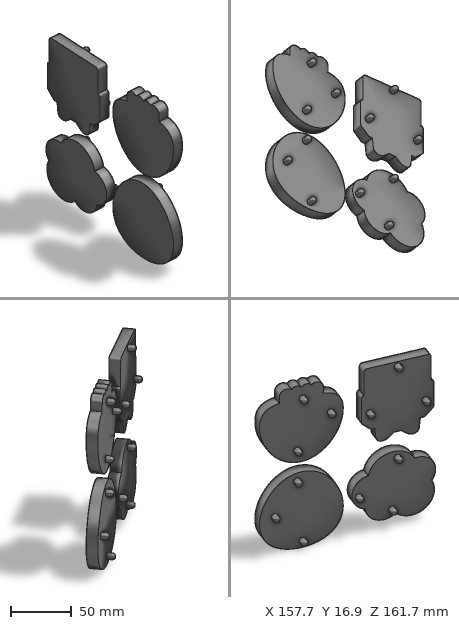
import cadquery as cq
import math


set_width = 157.74
set_height = 161.7
piece_size = 75.0
plate_thickness = 10.0
right_column_x = set_width / 2 - piece_size / 2

peg_diameter = 5.8
peg_length = 6.92
left_peg_x = -69.65
right_peg_x = 15.35
upper_peg_z = 16.65
lower_peg_z = -73.9

character_pegs = [(25, 60), (0, 20), (50, 20)]
flower_pegs = [(25, 60), (60, 30), (30, 10)]
crowned_egg_pegs = [(25, 50), (0, 30), (30, 0)]
plain_egg_pegs = [(30, 60), (50, 30), (25, 0)]

egg_half_width = piece_size / 2
egg_tall_end = 43.0
plain_egg_blunt_end = piece_size - egg_tall_end
egg_handle = egg_half_width * (math.sqrt(2) - 1) * 4 / 3
plain_egg_z = -set_height / 2 + plain_egg_blunt_end

crowned_egg_z = 47.2
crowned_egg_blunt_end = 20.4
crowned_egg_side_handle = 21.7
crowned_egg_tip_handle = 18.7
crown_half_width = 19.75
crown_top_z = 79.6
crown_outer_radius = 6.5
crown_inner_radius = 5.2
crown_valley_offset = 8.85
crown_valley_z = 77.7
crown_middle_valley_z = 77.3

character_x = -44.73
head_half_width = 30.1
head_top_z = set_height / 2
body_half_width = 32.5
body_top_z = 55.0
body_bottom_z = 20.0
bevel_width = 7.9
bevel_height = 8.5
corner_radius = 3.0
leg_half_width = 20.4
leg_lobe_offset = 14.1
leg_lobe_radius = 5.4
leg_bottom_z = head_top_z - piece_size
leg_side_lean = math.radians(6)
crotch_radius = 10.0
crotch_lean = math.radians(40)
crotch_half_width = 3.3
crotch_z = 11.8

flower_lobes = [
    (-40.75, -30.0, 22.75),
    (-20.35, -41.65, 16.5),
    (-32.25, -56.0, 16.4),
    (-57.3, -53.9, 20.45),
    (-62.87, -34.4, 16.0),
]


def add_pegs(plate, column_x, row_z, places):
    """Join round-nosed pegs to the back of a plate; places are offsets from (column_x, row_z)."""
    radius = peg_diameter / 2
    shank_length = peg_length - radius
    peg_profile = (
        cq.Workplane("XY")
        .lineTo(radius, 0)
        .lineTo(radius, shank_length)
        .radiusArc((0, peg_length), -radius)
        .close()
    )
    peg = peg_profile.revolve(360, (0, 0, 0), (0, 1, 0))
    for across, up in places:
        plate = plate.union(peg.translate((column_x + across, plate_thickness, row_z + up)))
    return plate


def egg_plate(widest_z, tall_direction, blunt_end, blunt_side_handle, blunt_tip_handle):
    """Egg with its tall end towards +Z (tall_direction 1) or -Z (-1) from its widest line."""
    x = right_column_x
    tall_tip = widest_z + tall_direction * egg_tall_end
    blunt_tip = widest_z - tall_direction * blunt_end
    side_above = widest_z + tall_direction * egg_handle
    side_below = widest_z - tall_direction * blunt_side_handle
    left = x - egg_half_width
    right = x + egg_half_width
    outline = (
        cq.Workplane("XZ")
        .moveTo(x, tall_tip)
        .bezier([(x, tall_tip), (x + egg_handle, tall_tip), (right, side_above), (right, widest_z)])
        .bezier([(right, widest_z), (right, side_below), (x + blunt_tip_handle, blunt_tip), (x, blunt_tip)])
        .bezier([(x, blunt_tip), (x - blunt_tip_handle, blunt_tip), (left, side_below), (left, widest_z)])
        .bezier([(left, widest_z), (left, side_above), (x - egg_handle, tall_tip), (x, tall_tip)])
        .close()
    )
    return outline.extrude(-plate_thickness)


def crown():
    """Block rising from the middle of the crowned egg, with four scallops along its top."""
    x = right_column_x
    shoulder_z = crown_top_z - crown_outer_radius
    outline = (
        cq.Workplane("XZ")
        .moveTo(x - crown_half_width, crowned_egg_z)
        .lineTo(x - crown_half_width, shoulder_z)
        .radiusArc((x - crown_valley_offset, crown_valley_z), crown_outer_radius)
        .radiusArc((x, crown_middle_valley_z), crown_inner_radius)
        .radiusArc((x + crown_valley_offset, crown_valley_z), crown_inner_radius)
        .radiusArc((x + crown_half_width, shoulder_z), crown_outer_radius)
        .lineTo(x + crown_half_width, crowned_egg_z)
        .close()
    )
    return outline.extrude(-plate_thickness)


def flower_plate():
    """Union of the overlapping discs."""
    plate = cq.Workplane("XZ")
    for x, z, radius in flower_lobes:
        plate = plate.union(cq.Workplane("XZ").center(x, z).circle(radius).extrude(-plate_thickness))
    return plate


def character_plate():
    """Head, body and legs; the head reaches down into the body as far as the bevels."""
    x = character_x
    head_bottom_z = body_bottom_z + bevel_height
    head = (
        cq.Workplane("XZ")
        .center(x, (head_top_z + head_bottom_z) / 2)
        .rect(2 * head_half_width, head_top_z - head_bottom_z)
        .extrude(-plate_thickness)
        .edges("|Y and >Z")
        .fillet(corner_radius)
    )
    body_height = body_top_z - body_bottom_z
    body = (
        cq.Workplane("XZ")
        .center(x, body_bottom_z + body_height / 2)
        .rect(2 * body_half_width, body_height)
        .extrude(-plate_thickness)
    )
    body = body.edges("|Y and <Z").chamfer(bevel_height, bevel_width)
    body = body.edges("|Y").fillet(corner_radius)

    lobe_z = leg_bottom_z + leg_lobe_radius
    side_x = leg_lobe_offset + leg_lobe_radius * math.cos(leg_side_lean)
    side_z = lobe_z - leg_lobe_radius * math.sin(leg_side_lean)
    lower_x = leg_lobe_offset - crotch_radius * math.sin(crotch_lean)
    lower_z = leg_bottom_z + crotch_radius * (1 - math.cos(crotch_lean))
    half_legs = (
        cq.Workplane("XZ")
        .moveTo(0, body_top_z)
        .lineTo(leg_half_width, body_top_z)
        .lineTo(leg_half_width, body_bottom_z)
        .lineTo(side_x, side_z)
        .radiusArc((leg_lobe_offset, leg_bottom_z), leg_lobe_radius)
        .radiusArc((lower_x, lower_z), crotch_radius)
        .lineTo(crotch_half_width, crotch_z)
        .lineTo(0, crotch_z)
        .close()
        .extrude(-plate_thickness)
    )
    legs = half_legs.union(half_legs.mirror("YZ")).translate((x, 0, 0))
    return head.union(body).union(legs)


character = add_pegs(character_plate(), left_peg_x, upper_peg_z, character_pegs)

flower = add_pegs(flower_plate(), left_peg_x, lower_peg_z, flower_pegs)

crowned_egg_body = egg_plate(
    crowned_egg_z, -1, crowned_egg_blunt_end, crowned_egg_side_handle, crowned_egg_tip_handle
)
crowned_egg = add_pegs(crowned_egg_body.union(crown()), right_peg_x, upper_peg_z, crowned_egg_pegs)

plain_egg_body = egg_plate(plain_egg_z, 1, plain_egg_blunt_end, egg_handle, egg_handle)
plain_egg = add_pegs(plain_egg_body, right_peg_x, lower_peg_z, plain_egg_pegs)

result = cq.Compound.makeCompound(
    [character.val(), flower.val(), crowned_egg.val(), plain_egg.val()]
)